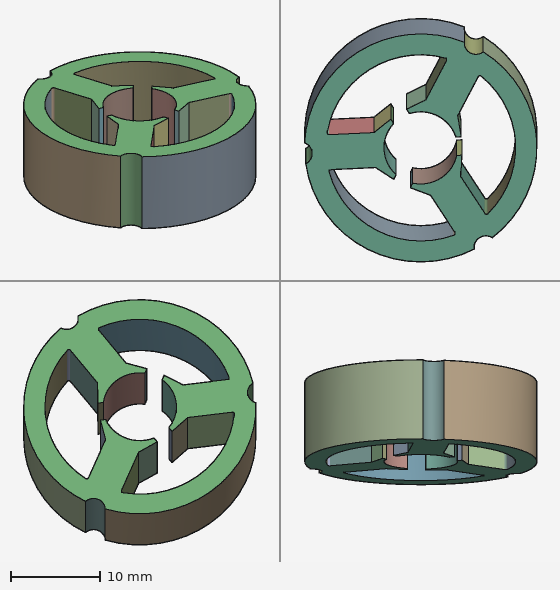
import cadquery as cq
import math

outer_radius = 12.98
ring_inner_radius = 10.6
height = 9.0

spoke_count = 3
spoke_pitch = 360 / spoke_count
spoke_half_width = 2.0
flare_start = 5.15
bore_radius = 4.1
foot_gap = 2.08
foot_tip_reach = 4.57
corner_radius = 0.2

notch_radius = 1.3
notch_floor = 12.15


def foot_tip_point(distance_along_gap):
    """Point on the right-hand tip face of the +Y foot, on the edge of the gap."""
    gap_angle = math.radians(90 - spoke_pitch / 2)
    offset = foot_gap / 2
    x = distance_along_gap * math.cos(gap_angle) - offset * math.sin(gap_angle)
    y = distance_along_gap * math.sin(gap_angle) + offset * math.cos(gap_angle)
    return x, y


def mirrored(point):
    return -point[0], point[1]


def make_spoke():
    """Spoke along +Y, running into the middle of the ring wall."""
    root = (spoke_half_width, (outer_radius + ring_inner_radius) / 2)
    flare = (spoke_half_width, flare_start)
    tip_outer = foot_tip_point(foot_tip_reach)
    tip_inner = foot_tip_point(math.sqrt(bore_radius**2 - (foot_gap / 2) ** 2))
    return (
        cq.Workplane("XY")
        .moveTo(*root)
        .lineTo(*flare)
        .lineTo(*tip_outer)
        .lineTo(*tip_inner)
        .threePointArc((0, bore_radius), mirrored(tip_inner))
        .lineTo(*mirrored(tip_outer))
        .lineTo(*mirrored(flare))
        .lineTo(*mirrored(root))
        .close()
        .extrude(height)
    )


def make_notch():
    return (
        cq.Workplane("XY")
        .center(0, notch_floor + notch_radius)
        .circle(notch_radius)
        .extrude(height)
    )


def around_axis(shape, index):
    return shape.rotate((0, 0, 0), (0, 0, 1), index * spoke_pitch)


body = cq.Workplane("XY").circle(outer_radius).circle(ring_inner_radius).extrude(height)
for i in range(spoke_count):
    body = body.union(around_axis(make_spoke(), i))

spoke_corner_angle = math.degrees(math.asin(spoke_half_width / ring_inner_radius))
for i in range(spoke_count):
    for side in (-1, 1):
        angle = math.radians(90 + i * spoke_pitch + side * spoke_corner_angle)
        corner = (
            ring_inner_radius * math.cos(angle),
            ring_inner_radius * math.sin(angle),
            height / 2,
        )
        corner_edge = cq.NearestToPointSelector(corner)
        body = body.edges("|Z").edges(corner_edge).fillet(corner_radius)

for i in range(spoke_count):
    body = body.cut(around_axis(make_notch(), i))

result = body